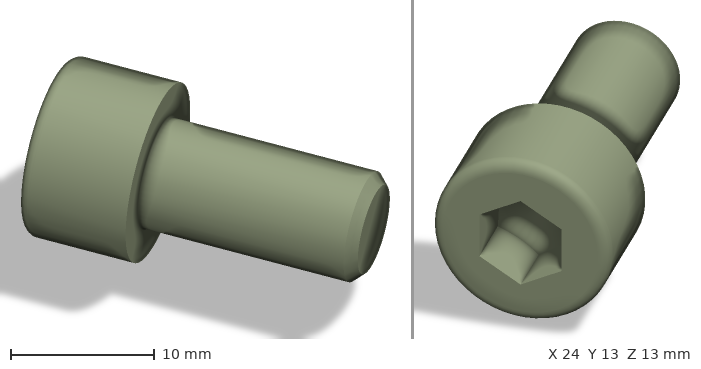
import cadquery as cq
import math

total_length = 24.0
head_length = 8.0
head_diameter = 13.0
head_fillet = 0.82
shank_diameter = 8.0
neck_fillet = 0.15
tip_chamfer = 0.77

socket_across_flats = 6.0
socket_depth = 4.0
socket_floor_angle = 120.0

head_radius = head_diameter / 2
shank_radius = shank_diameter / 2
socket_corner_radius = socket_across_flats / math.sqrt(3)


def make_body():
    """Revolve the half profile of head and shank about the X axis."""
    arc_mid = head_fillet * (1 - math.sqrt(0.5))
    neck_arc_mid = neck_fillet * (1 - math.sqrt(0.5))
    return (
        cq.Workplane("XY")
        .lineTo(0, head_radius - head_fillet)
        .threePointArc((arc_mid, head_radius - arc_mid), (head_fillet, head_radius))
        .lineTo(head_length, head_radius)
        .lineTo(head_length, shank_radius + neck_fillet)
        .threePointArc(
            (head_length + neck_arc_mid, shank_radius + neck_arc_mid),
            (head_length + neck_fillet, shank_radius),
        )
        .lineTo(total_length - tip_chamfer, shank_radius)
        .lineTo(total_length, shank_radius - tip_chamfer)
        .lineTo(total_length, 0)
        .close()
        .revolve(360, (0, 0, 0), (1, 0, 0))
    )


def make_socket():
    """Hexagonal prism, corners at +Z and -Z, trimmed by a pointed round cutter."""
    cone_height = socket_corner_radius / math.tan(math.radians(socket_floor_angle / 2))
    tip_depth = socket_depth + cone_height
    hexagon = (
        cq.Workplane("YZ")
        .polygon(6, 2 * socket_corner_radius)
        .extrude(tip_depth)
        .rotate((0, 0, 0), (1, 0, 0), 90)
    )
    pointed_cutter = (
        cq.Workplane("XY")
        .lineTo(0, socket_corner_radius)
        .lineTo(socket_depth, socket_corner_radius)
        .lineTo(tip_depth, 0)
        .close()
        .revolve(360, (0, 0, 0), (1, 0, 0))
    )
    return hexagon.intersect(pointed_cutter)


result = make_body().cut(make_socket())